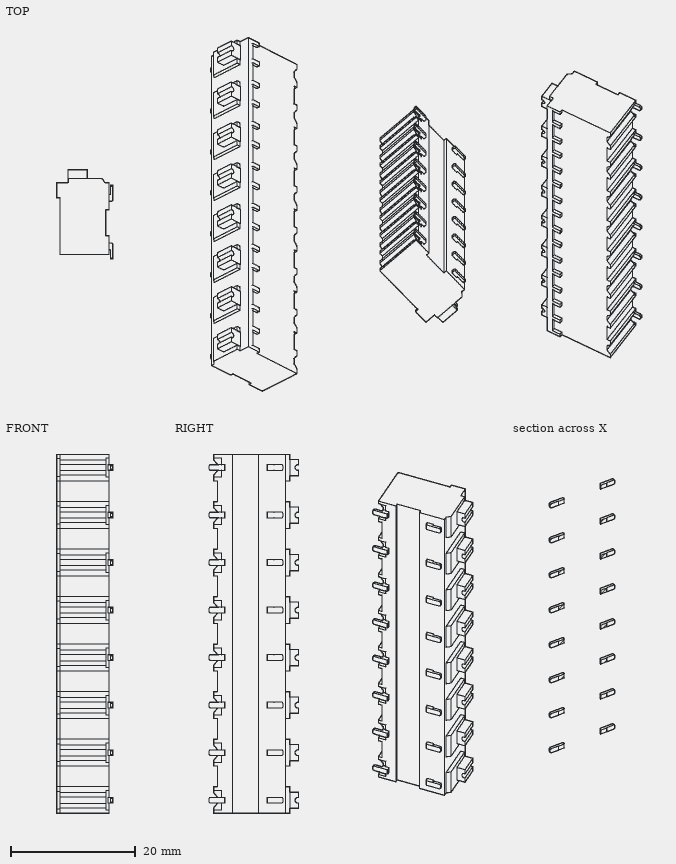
import cadquery as cq

pole_count = 8
pitch = 7.62
pole_width = 4.34
half_pole = pole_width / 2
end_margin = 2.1
row = (-end_margin, (pole_count - 1) * pitch + end_margin)
overall_depth = 14.38
overall_thickness = 9.0

lip_thickness = 0.52
back_x = 8.4
gap_floor_y = 1.36
tooth_face_y = 0.74
shoulder_y = 12.3
lip_bottom_y = 11.3
tab_bottom_y = 9.83
tab_width = 0.74

pad_left_x = 1.86
pad_top_y = 12.97
pad_chamfer_x = 0.5
pad_right_x = 7.75

clip_left_x = 1.78
clip_width_x = 3.15
clip_half_height = 1.32
clip_notch_half_width = 0.42
clip_notch_depth = 0.55

groove_half_mouth = 1.22
groove_half_floor = 0.5

recess_x = 7.88
channel_low_y = 3.8
channel_high_y = 7.92
pin_recess_half_height = 1.55
pin_recess_end_y = 2.0

contact_length = 2.62
contact_inner_x = 8.6
root_inner_x = 8.25
root_start_y = 1.5
contact_height = 0.94
contact_tip_chamfer = 0.2
contact_end_chamfer = 0.15
upper_contact_end_y = 11.9


def box(x_range, y_range, z_range):
    """Box between two limits on each axis."""
    limits = (x_range, y_range, z_range)
    sizes = [high - low for low, high in limits]
    corner = cq.Vector(*[low for low, high in limits])
    return cq.Workplane("XY").box(*sizes, centered=False).translate(corner)


def centred(half_size, middle=0.0):
    """Limits lying evenly about a middle value."""
    return (middle - half_size, middle + half_size)


def make_housing():
    """Continuous bar with its front lip and a channel along the back."""
    bar = box((lip_thickness, back_x), (gap_floor_y, shoulder_y), row)
    lip = box((0, lip_thickness), (lip_bottom_y, shoulder_y), row)
    channel = box((recess_x, back_x), (channel_low_y, channel_high_y), row)
    return bar.union(lip).cut(channel)


def make_pad():
    """Raised pad with a sloped back end."""
    outline = [
        (pad_left_x, shoulder_y),
        (pad_left_x, pad_top_y),
        (pad_right_x - pad_chamfer_x, pad_top_y),
        (pad_right_x, shoulder_y),
    ]
    pad = cq.Workplane("XY").polyline(outline).close().extrude(pole_width)
    return pad.translate((0, 0, -half_pole))


def make_clip():
    """Upright clip with a rounded notch in its tip."""
    clip = (
        cq.Workplane("YZ")
        .moveTo(shoulder_y, -clip_half_height)
        .lineTo(overall_depth, -clip_half_height)
        .lineTo(overall_depth, -clip_notch_half_width)
        .threePointArc((overall_depth - clip_notch_depth, 0), (overall_depth, clip_notch_half_width))
        .lineTo(overall_depth, clip_half_height)
        .lineTo(shoulder_y, clip_half_height)
        .close()
        .extrude(clip_width_x)
    )
    return clip.translate((clip_left_x, 0, 0))


def make_tooth():
    """Bottom block of a pole, split by a flat-floored V groove."""
    tooth = box((lip_thickness, back_x), (tooth_face_y, gap_floor_y), centred(half_pole))
    mouth_and_floor = [
        (tooth_face_y, -groove_half_mouth),
        (gap_floor_y, -groove_half_floor),
        (gap_floor_y, groove_half_floor),
        (tooth_face_y, groove_half_mouth),
    ]
    groove = cq.Workplane("YZ").polyline(mouth_and_floor).close().extrude(overall_thickness)
    return tooth.cut(groove)


def make_tab(side):
    """Tab running down from the lip at the upper (+1) or lower (-1) edge of a pole."""
    middle = side * (half_pole - tab_width / 2)
    return box((0, lip_thickness), (tab_bottom_y, lip_bottom_y), centred(tab_width / 2, middle))


def make_pin_recess():
    """Pocket in the back bottom edge that leaves room around the pin."""
    return box(
        (recess_x, back_x),
        (tooth_face_y, pin_recess_end_y),
        centred(pin_recess_half_height),
    )


def make_pin():
    """Lower contact: corners cut at the tip, outer edge bevelled at the other end."""
    pin = box(
        (contact_inner_x, overall_thickness),
        (0, contact_length),
        centred(contact_height / 2),
    )
    pin = pin.faces("<Y").edges("|X").chamfer(contact_tip_chamfer)
    pin = pin.faces(">Y").edges(">X").chamfer(contact_end_chamfer)
    root = box(
        (root_inner_x, contact_inner_x),
        (root_start_y, contact_length),
        centred(contact_height / 2),
    )
    return pin.union(root)


def make_upper_contact():
    """Pin turned end for end, with its tip at the top of the back face."""
    return make_pin().mirror("XZ").translate((0, upper_contact_end_y, 0))


def make_pole():
    """All the features added to the housing at one pole."""
    body_parts = make_pad().union(make_clip()).union(make_tab(1)).union(make_tab(-1))
    tooth = make_tooth().cut(make_pin_recess())
    return body_parts.union(tooth).union(make_pin()).union(make_upper_contact())


def along_row(feature):
    """Copies of a feature at every pole."""
    copies = [feature.translate((0, 0, pole * pitch)).val() for pole in range(pole_count)]
    return cq.Workplane(cq.Compound.makeCompound(copies))


housing = make_housing().cut(along_row(make_pin_recess()))
envelope = box((0, overall_thickness), (0, overall_depth), row)
result = housing.union(along_row(make_pole())).intersect(envelope).solids()